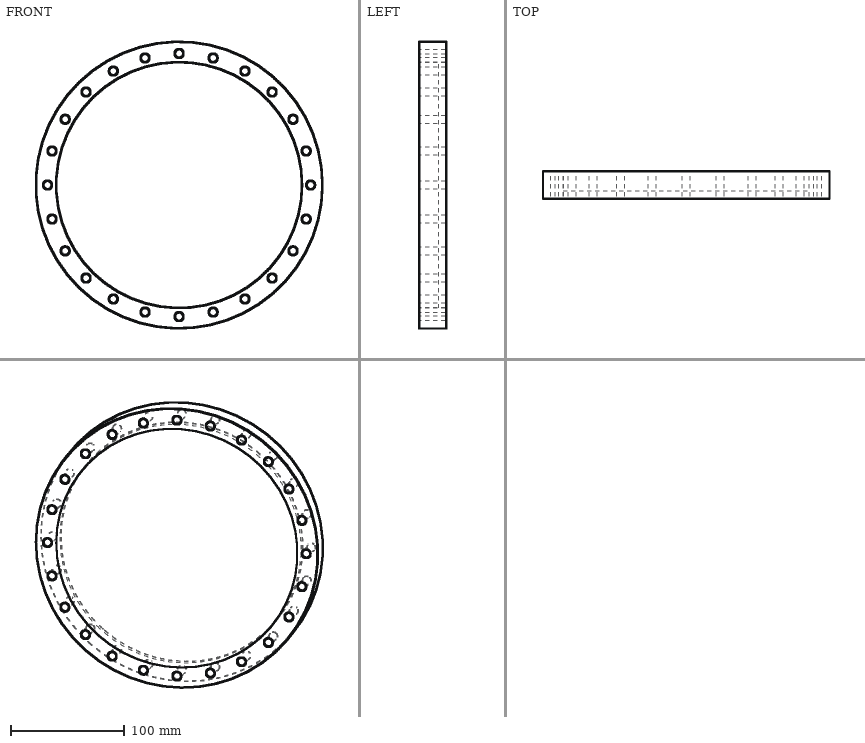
import cadquery as cq

flange_diameter = 253.2
flange_thickness = 24.5
bore_diameter = 216.2

bolt_count = 24
bolt_circle_diameter = 232.0
bolt_hole_diameter = 7.0

edge_break = 0.5

window_setback = 7.0
window_thickness = flange_thickness - window_setback


def front_plane(setback=0.0):
    """Workplane parallel to the front face, its normal toward -Y, set back toward +Y."""
    return cq.Workplane("XZ", origin=(0, setback - flange_thickness / 2, 0))


def make_flange():
    """Ring with a circle of bolt holes; every edge is broken except the bore's rear edge."""
    bore = front_plane().circle(bore_diameter / 2).extrude(-flange_thickness)
    bolt_holes = (
        front_plane()
        .polarArray(bolt_circle_diameter / 2, 0, 360, bolt_count)
        .circle(bolt_hole_diameter / 2)
        .extrude(-flange_thickness)
    )

    body = front_plane().circle(flange_diameter / 2).extrude(-flange_thickness)
    body = body.cut(bolt_holes)
    body = body.faces(">Y").edges().chamfer(edge_break)
    body = body.cut(bore)
    return body.faces("<Y").edges().chamfer(edge_break)


def make_window():
    """Plain disc that fills the bore behind the setback."""
    return front_plane(window_setback).circle(bore_diameter / 2).extrude(-window_thickness)


flange = make_flange()
window = make_window()

result = cq.Compound.makeCompound([flange.solids().val(), window.val()])